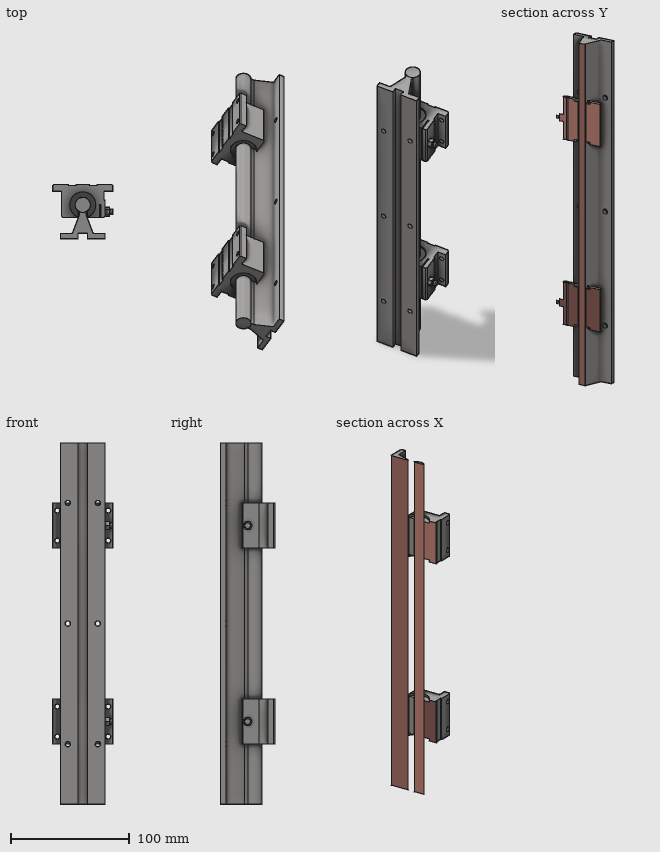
import cadquery as cq
import math

LENGTH = 304.8
SHAFT_RADIUS = 6.5
SHAFT_HEIGHT = 28.5

RAIL_HALF_WIDTH = 19.0
RAIL_BASE_THICKNESS = 4.5
RAIL_SLOT_WIDTH = 7.5
RAIL_SLOT_DEPTH = 4.5
WEB_FOOT_HALF_WIDTH = 8.8
WEB_FOOT_FILLET = 1.2
WEB_NECK_HALF_WIDTH = 3.0
WEB_NECK_HEIGHT = 20.0
RAIL_HOLE_DIAMETER = 4.3
RAIL_HOLE_SPACING_X = 25.3
RAIL_HOLE_PITCH_Z = LENGTH / 3

BLOCK_LENGTH = 38.0
BLOCK_SPACING = 165.2
BLOCK_TOP = 46.0
BLOCK_BOTTOM = 18.0
BLOCK_HALF_WIDTH = 18.0
BLOCK_CORNER_CHAMFER = 1.2
FLANGE_WIDTH = 51.0
FLANGE_HALF_WIDTH = FLANGE_WIDTH / 2
FLANGE_THICKNESS = 6.0
FLANGE_EDGE_CHAMFER = 1.2
TOP_GROOVE_INNER = 5.5
TOP_GROOVE_OUTER = 12.2
TOP_GROOVE_DEPTH = 1.0
BLOCK_OPENING_HALF_WIDTH = 4.0
BUSHING_RADIUS = 11.0
BUSHING_RECESS_DEPTH = 1.8
BLOCK_HOLE_DIAMETER = 4.0
BLOCK_HOLE_SPACING_X = 43.0
BLOCK_HOLE_SPACING_Z = 25.3

LIP_STEP = 1.0
LIP_TOP = 32.5
SLIT_X = 14.5
SLIT_WIDTH = 1.0
SLIT_TOP = 29.0

NIPPLE_HEIGHT = 23.0
HEX_ACROSS_FLATS = 6.7
HEX_LENGTH = 3.7
NIPPLE_NECK_RADIUS = 1.5
NIPPLE_HEAD_RADIUS = 2.5
NIPPLE_NECK_LENGTH = 1.2


def cut_y_holes(body, points, diameter):
    """Drill through holes along Y at the given (x, z) points."""
    for x, z in points:
        hole = cq.Workplane("XZ").center(x, z).circle(diameter / 2).extrude(BLOCK_TOP, both=True)
        body = body.cut(hole)
    return body


def centred_box(x_min, x_max, y_min, y_max, length):
    """A box between two X and two Y limits, centred on Z = 0."""
    return (
        cq.Workplane("XY")
        .center((x_min + x_max) / 2, (y_min + y_max) / 2)
        .rect(x_max - x_min, y_max - y_min)
        .extrude(length / 2, both=True)
    )


def make_shaft():
    """The round shaft, also used to shape the seats that receive it."""
    return cq.Workplane("XY", origin=(0, SHAFT_HEIGHT, -LENGTH / 2)).circle(SHAFT_RADIUS).extrude(LENGTH)


def make_rail():
    """The support rail: slotted base, tapered web and a saddle for the shaft."""
    half_profile = [
        (0, RAIL_SLOT_DEPTH),
        (RAIL_SLOT_WIDTH / 2, RAIL_SLOT_DEPTH),
        (RAIL_SLOT_WIDTH / 2, 0),
        (RAIL_HALF_WIDTH, 0),
        (RAIL_HALF_WIDTH, RAIL_BASE_THICKNESS),
        (WEB_FOOT_HALF_WIDTH, RAIL_BASE_THICKNESS),
        (WEB_NECK_HALF_WIDTH, WEB_NECK_HEIGHT),
        (WEB_NECK_HALF_WIDTH, SHAFT_HEIGHT),
        (0, SHAFT_HEIGHT),
    ]
    half_rail = cq.Workplane("XY").polyline(half_profile).close().extrude(LENGTH)
    half_rail = half_rail.translate((0, 0, -LENGTH / 2))
    web_foot = cq.selectors.NearestToPointSelector((WEB_FOOT_HALF_WIDTH, RAIL_BASE_THICKNESS, 0))
    half_rail = half_rail.edges("|Z").edges(web_foot).fillet(WEB_FOOT_FILLET)
    rail = half_rail.union(half_rail.mirror("YZ")).cut(make_shaft())
    hole_points = [
        (side * RAIL_HOLE_SPACING_X / 2, row * RAIL_HOLE_PITCH_Z)
        for side in (-1, 1)
        for row in (-1, 0, 1)
    ]
    return cut_y_holes(rail, hole_points, RAIL_HOLE_DIAMETER)


def make_block_body():
    """The flanged outer shape of a block, with its lip and top grooves."""
    flange_bottom = BLOCK_TOP - FLANGE_THICKNESS
    flange = centred_box(-FLANGE_HALF_WIDTH, FLANGE_HALF_WIDTH, flange_bottom, BLOCK_TOP, BLOCK_LENGTH)
    flange = flange.edges("|Z and >Y").chamfer(FLANGE_EDGE_CHAMFER)
    core = centred_box(-BLOCK_HALF_WIDTH, BLOCK_HALF_WIDTH, BLOCK_BOTTOM, BLOCK_TOP, BLOCK_LENGTH)
    lip = centred_box(0, BLOCK_HALF_WIDTH + LIP_STEP, BLOCK_BOTTOM, LIP_TOP, BLOCK_LENGTH)
    core = core.union(lip).edges("|Z and <Y").chamfer(BLOCK_CORNER_CHAMFER)
    body = core.union(flange)
    groove = centred_box(
        TOP_GROOVE_INNER, TOP_GROOVE_OUTER, BLOCK_TOP - TOP_GROOVE_DEPTH, BLOCK_TOP, BLOCK_LENGTH
    )
    return body.cut(groove).cut(groove.mirror("YZ"))


def cut_bearing_features(block):
    """Bore, opening for the rail, end recesses, clamping slit and flange holes."""
    block = block.cut(make_shaft())
    block = block.cut(
        centred_box(
            -BLOCK_OPENING_HALF_WIDTH, BLOCK_OPENING_HALF_WIDTH, BLOCK_BOTTOM, SHAFT_HEIGHT, BLOCK_LENGTH
        )
    )
    for end_z, inward in ((BLOCK_LENGTH / 2, -1), (-BLOCK_LENGTH / 2, 1)):
        recess = (
            cq.Workplane("XY", origin=(0, SHAFT_HEIGHT, end_z))
            .circle(BUSHING_RADIUS)
            .extrude(inward * BUSHING_RECESS_DEPTH)
        )
        block = block.cut(recess)
    block = block.cut(
        centred_box(
            SLIT_X - SLIT_WIDTH / 2, SLIT_X + SLIT_WIDTH / 2, BLOCK_BOTTOM, SLIT_TOP, BLOCK_LENGTH
        )
    )
    hole_points = [
        (x_side * BLOCK_HOLE_SPACING_X / 2, z_side * BLOCK_HOLE_SPACING_Z / 2)
        for x_side in (-1, 1)
        for z_side in (-1, 1)
    ]
    return cut_y_holes(block, hole_points, BLOCK_HOLE_DIAMETER)


def make_nipple():
    """Hexagon, neck and conical head pointing along +X from the lip."""
    lip_face = BLOCK_HALF_WIDTH + LIP_STEP
    hex_end = lip_face + HEX_LENGTH
    neck_end = hex_end + NIPPLE_NECK_LENGTH
    hexagon = (
        cq.Workplane("YZ", origin=(lip_face, NIPPLE_HEIGHT, 0))
        .polygon(6, HEX_ACROSS_FLATS / math.cos(math.pi / 6))
        .extrude(HEX_LENGTH)
    )
    tip = (
        cq.Workplane("XY", origin=(0, NIPPLE_HEIGHT, 0))
        .polyline([
            (hex_end, 0),
            (hex_end, NIPPLE_NECK_RADIUS),
            (neck_end, NIPPLE_HEAD_RADIUS),
            (FLANGE_HALF_WIDTH, NIPPLE_HEAD_RADIUS),
            (FLANGE_HALF_WIDTH, 0),
        ])
        .close()
        .revolve(360, (0, 0, 0), (1, 0, 0))
    )
    return hexagon.union(tip)


def make_block():
    """One complete bearing block, centred on Z = 0."""
    return cut_bearing_features(make_block_body()).union(make_nipple())


shaft = make_shaft()
rail = make_rail()
blocks = [make_block().translate((0, 0, side * BLOCK_SPACING / 2)) for side in (-1, 1)]

result = cq.Compound.makeCompound([shaft.val(), rail.val(), *[block.val() for block in blocks]])